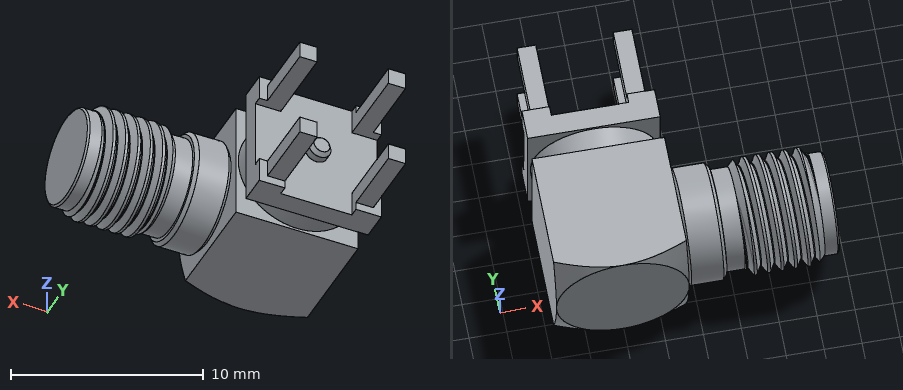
import cadquery as cq
import math

block = 7.0
corner_angle = 30.0

barrel_length = 8.1
collar_radius = 3.1
collar_length = 2.1
collar_bevel = 0.2
neck_radius = 2.7
tip_bevel = 0.1
thread_start = 3.1
thread_end = 7.31
thread_radius = collar_radius
thread_pitch = 0.71
land_bevel = thread_radius - neck_radius
groove_root_radius = 2.67
groove_root_width = 0.06
flank_angle = 30.0
groove_start = 2.69
groove_turns = 8
groove_overcut = 0.08

stem_radius = 3.37
stem_length = 1.22
plate_thickness = 1.63
leg_length = 3.94
leg_width = 1.0
leg_spacing = 5.07
channel_depth = 0.5
pin_radius = 0.63
pin_height = 0.68
pin_bevel_height = 0.25
pin_bevel_width = 0.18

half = block / 2
stem_end = half + stem_length
plate_end = stem_end + plate_thickness
channel_floor = plate_end - channel_depth
channel_width = leg_spacing - leg_width


def make_block():
    """Cube whose front corners are trimmed by a cone touching the edge midpoints."""
    slope = math.tan(math.radians(corner_angle))
    cone_radius = block
    cone_depth = (cone_radius - half) * slope
    envelope = (
        cq.Workplane("XY")
        .moveTo(0, -half)
        .lineTo(half, -half)
        .lineTo(cone_radius, -half + cone_depth)
        .lineTo(cone_radius, half)
        .lineTo(0, half)
        .close()
        .revolve(360, (0, 0, 0), (0, 1, 0))
    )
    return cq.Workplane("XY").box(block, block, block).intersect(envelope)


def turn(profile):
    """Solid of revolution about the X axis from (station, radius) points."""
    return cq.Workplane("XY").polyline(profile).close().revolve(360, (0, 0, 0), (1, 0, 0))


def make_thread_groove():
    """Right-handed helical groove that runs past both ends of the threaded land."""
    mouth_radius = thread_radius + groove_overcut
    flank_width = (mouth_radius - groove_root_radius) * math.tan(math.radians(flank_angle))
    root_half = groove_root_width / 2
    mouth_half = root_half + flank_width
    section = [
        (groove_root_radius, -root_half),
        (groove_root_radius, root_half),
        (mouth_radius, mouth_half),
        (mouth_radius, -mouth_half),
    ]
    helix = cq.Wire.makeHelix(thread_pitch, groove_turns * thread_pitch, groove_root_radius)
    groove = cq.Workplane("XZ").polyline(section).close().sweep(helix, isFrenet=True)
    return groove.rotate((0, 0, 0), (0, 1, 0), 90).translate((groove_start, 0, 0))


def make_threaded_land():
    """Rod cut by the groove, then trimmed to a land bevelled at both ends."""
    bevelled_land = turn(
        [
            (thread_start, 0),
            (thread_start, neck_radius),
            (thread_start + land_bevel, thread_radius),
            (thread_end - land_bevel, thread_radius),
            (thread_end, neck_radius),
            (thread_end, 0),
        ]
    )
    rod = cq.Workplane("YZ", origin=(thread_start, 0, 0)).circle(thread_radius)
    rod = rod.extrude(thread_end - thread_start)
    return rod.cut(make_thread_groove()).intersect(bevelled_land)


def make_barrel():
    """Collar and neck, then the threaded land, then the plain tip."""
    collar_and_neck = turn(
        [
            (0, 0),
            (0, collar_radius - collar_bevel),
            (collar_bevel, collar_radius),
            (collar_length - collar_bevel, collar_radius),
            (collar_length, collar_radius - collar_bevel),
            (collar_length, neck_radius),
            (thread_start, neck_radius),
            (thread_start, 0),
        ]
    )
    tip = turn(
        [
            (thread_end, 0),
            (thread_end, neck_radius),
            (barrel_length - tip_bevel, neck_radius),
            (barrel_length, neck_radius - tip_bevel),
            (barrel_length, 0),
        ]
    )
    return collar_and_neck.union(make_threaded_land()).union(tip)


def square_prism(side, start, end):
    """Square bar along Y between two stations."""
    return cq.Workplane("XY").box(side, end - start, side).translate((0, (start + end) / 2, 0))


def make_foot():
    """Round stem, square plate with a cross channel, and a leg on each corner."""
    stem = cq.Workplane("XZ", origin=(0, half, 0)).circle(stem_radius).extrude(-stem_length)
    plate = square_prism(block, stem_end, plate_end)
    channel = cq.Workplane("XY").box(block, channel_depth, channel_width)
    channel = channel.translate((0, plate_end - channel_depth / 2, 0))
    plate = plate.cut(channel).cut(channel.rotate((0, 0, 0), (0, 1, 0), 90))
    foot = stem.union(plate)
    leg = square_prism(leg_width, plate_end, plate_end + leg_length)
    for x_side in (-1, 1):
        for z_side in (-1, 1):
            foot = foot.union(leg.translate((x_side * leg_spacing / 2, 0, z_side * leg_spacing / 2)))
    return foot


def make_pin():
    """Centre contact standing on the channel floor, bevelled at its tip."""
    return (
        cq.Workplane("XZ", origin=(0, channel_floor, 0))
        .circle(pin_radius)
        .extrude(-pin_height)
        .faces(">Y")
        .chamfer(pin_bevel_height, pin_bevel_width)
    )


barrel = make_barrel().translate((half, 0, 0))
result = make_block().union(barrel).union(make_foot()).union(make_pin())